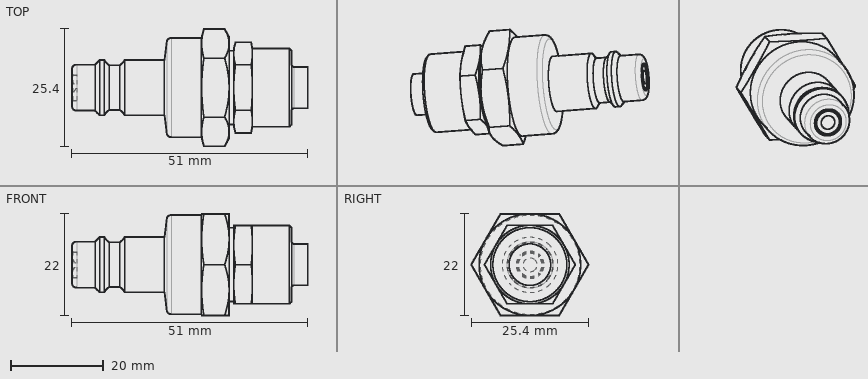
import cadquery as cq
import math


NOSE_DIA = 10.0
NOSE_FILLET = 1.0
COLLAR_DIA = 12.0
COLLAR_RAMP_START = 5.0
COLLAR_START = 6.0
COLLAR_END = 7.0
GROOVE_DIA = 9.75
GROOVE_START = 8.05
GROOVE_END = 10.35
SHANK_START = 11.4
GROOVE_FLANK_RADIUS = 2.8

FLANGE_DIA = 21.5
FLANGE_START = 20.0
FLANGE_FACE_ANGLE = 7.0
FLANGE_FILLET = 1.0
BODY_HEX_FLATS = 22.0
BODY_HEX_START = 28.0
BODY_HEX_END = 34.0
BODY_HEX_FRONT_ANGLE = 15.0
BODY_HEX_REAR_ANGLE = 30.0

NECK_DIA = 16.0
NUT_DIA = 17.0
NUT_HEX_FLATS = NUT_DIA
NUT_HEX_START = 35.0
NUT_HEX_END = 39.0
NUT_HEX_FRONT_ANGLE = 15.0
NUT_HEX_REAR_ANGLE = 10.0
NUT_END = 47.5
NUT_CHAMFER = 0.5

SPIGOT_DIA = 9.0
SPIGOT_FILLET = 0.5
TOTAL_LENGTH = 51.0

BORE_DIA = 5.6
STEM_DIA = 5.45
BORE_CHAMFER = 0.2
STEM_CHAMFER = 0.2
GAP_DEPTH = 1.0
DIMPLE_DIA = 3.0
DIMPLE_TIP_ANGLE = 118.0


def tan_deg(angle):
    return math.tan(math.radians(angle))


def revolve_profile(profile):
    """Revolve a closed profile drawn as (x, radius) about the X axis."""
    return profile.close().revolve(360, (0, 0, 0), (1, 0, 0))


def arc_middle(start, end, radius):
    """Middle point of an arc from start to end that bows towards the axis."""
    dx = end[0] - start[0]
    dr = end[1] - start[1]
    chord = math.hypot(dx, dr)
    bow = radius - math.sqrt(radius**2 - (chord / 2) ** 2)
    mid_x = (start[0] + end[0]) / 2
    mid_r = (start[1] + end[1]) / 2
    return (mid_x + bow * dr / chord, mid_r - bow * dx / chord)


def make_plug():
    """Nose, locking groove and shank."""
    nose_r = NOSE_DIA / 2
    collar_r = COLLAR_DIA / 2
    groove_r = GROOVE_DIA / 2
    collar_edge = (COLLAR_END, collar_r)
    groove_front = (GROOVE_START, groove_r)
    groove_rear = (GROOVE_END, groove_r)
    shank_edge = (SHANK_START, collar_r)
    profile = (
        cq.Workplane("XY")
        .lineTo(0, nose_r - NOSE_FILLET)
        .radiusArc((NOSE_FILLET, nose_r), NOSE_FILLET)
        .lineTo(COLLAR_RAMP_START, nose_r)
        .lineTo(COLLAR_START, collar_r)
        .lineTo(*collar_edge)
        .threePointArc(arc_middle(collar_edge, groove_front, GROOVE_FLANK_RADIUS), groove_front)
        .lineTo(*groove_rear)
        .threePointArc(arc_middle(groove_rear, shank_edge, GROOVE_FLANK_RADIUS), shank_edge)
        .lineTo(BODY_HEX_START, collar_r)
        .lineTo(BODY_HEX_START, 0)
    )
    return revolve_profile(profile)


def make_flange():
    """Round flange with a conical front face and a rounded front rim."""
    flange_r = FLANGE_DIA / 2
    shank_r = COLLAR_DIA / 2
    slope = math.radians(FLANGE_FACE_ANGLE)
    rim_start_r = flange_r - FLANGE_FILLET * (1 - math.sin(slope))
    rim_start_x = FLANGE_START + (rim_start_r - shank_r) * math.tan(slope)
    rim_end_x = rim_start_x + FLANGE_FILLET * math.cos(slope)
    profile = (
        cq.Workplane("XY")
        .moveTo(FLANGE_START, 0)
        .lineTo(FLANGE_START, shank_r)
        .lineTo(rim_start_x, rim_start_r)
        .radiusArc((rim_end_x, flange_r), FLANGE_FILLET)
        .lineTo(BODY_HEX_START, flange_r)
        .lineTo(BODY_HEX_START, 0)
    )
    return revolve_profile(profile)


def make_hexagon(flats, start, end, front, rear):
    """Hexagon with flats facing +Z and -Z, its corners cut by cones at both ends.

    front and rear are (face diameter, cone angle measured from the end face).
    """
    corner_dia = flats / math.cos(math.pi / 6)
    corner_r = corner_dia / 2
    hexagon = cq.Workplane("YZ", origin=(start, 0, 0)).polygon(6, corner_dia).extrude(end - start)
    front_r = front[0] / 2
    rear_r = rear[0] / 2
    envelope = (
        cq.Workplane("XY")
        .moveTo(start, 0)
        .lineTo(start, front_r)
        .lineTo(start + (corner_r - front_r) * tan_deg(front[1]), corner_r)
        .lineTo(end - (corner_r - rear_r) * tan_deg(rear[1]), corner_r)
        .lineTo(end, rear_r)
        .lineTo(end, 0)
    )
    return hexagon.intersect(revolve_profile(envelope))


def make_rear():
    """Neck, nut sleeve and hose spigot."""
    neck_r = NECK_DIA / 2
    nut_r = NUT_DIA / 2
    spigot_r = SPIGOT_DIA / 2
    profile = (
        cq.Workplane("XY")
        .moveTo(BODY_HEX_END, 0)
        .lineTo(BODY_HEX_END, neck_r)
        .lineTo(NUT_HEX_START, neck_r)
        .lineTo(NUT_HEX_START, nut_r)
        .lineTo(NUT_END - NUT_CHAMFER, nut_r)
        .lineTo(NUT_END, nut_r - NUT_CHAMFER)
        .lineTo(NUT_END, spigot_r + SPIGOT_FILLET)
        .radiusArc((NUT_END + SPIGOT_FILLET, spigot_r), -SPIGOT_FILLET)
        .lineTo(TOTAL_LENGTH, spigot_r)
        .lineTo(TOTAL_LENGTH, 0)
    )
    return revolve_profile(profile)


def make_stem_gap():
    """Thin ring gap between bore and valve stem, chamfered on both sides at the nose face."""
    bore_r = BORE_DIA / 2
    stem_r = STEM_DIA / 2
    profile = (
        cq.Workplane("XY")
        .moveTo(0, stem_r - STEM_CHAMFER)
        .lineTo(STEM_CHAMFER, stem_r)
        .lineTo(GAP_DEPTH, stem_r)
        .lineTo(GAP_DEPTH, bore_r)
        .lineTo(BORE_CHAMFER, bore_r)
        .lineTo(0, bore_r + BORE_CHAMFER)
    )
    return revolve_profile(profile)


def make_dimple():
    """Conical centre dimple in the valve stem."""
    dimple_r = DIMPLE_DIA / 2
    depth = dimple_r / tan_deg(DIMPLE_TIP_ANGLE / 2)
    profile = cq.Workplane("XY").lineTo(0, dimple_r).lineTo(depth, 0)
    return revolve_profile(profile)


body_hexagon = make_hexagon(
    BODY_HEX_FLATS,
    BODY_HEX_START,
    BODY_HEX_END,
    (FLANGE_DIA, BODY_HEX_FRONT_ANGLE),
    (BODY_HEX_FLATS, BODY_HEX_REAR_ANGLE),
)
nut_hexagon = make_hexagon(
    NUT_HEX_FLATS,
    NUT_HEX_START,
    NUT_HEX_END,
    (NUT_DIA, NUT_HEX_FRONT_ANGLE),
    (NUT_DIA, NUT_HEX_REAR_ANGLE),
)

result = (
    make_plug()
    .union(make_flange())
    .union(body_hexagon)
    .union(make_rear())
    .union(nut_hexagon)
    .cut(make_stem_gap())
    .cut(make_dimple())
)